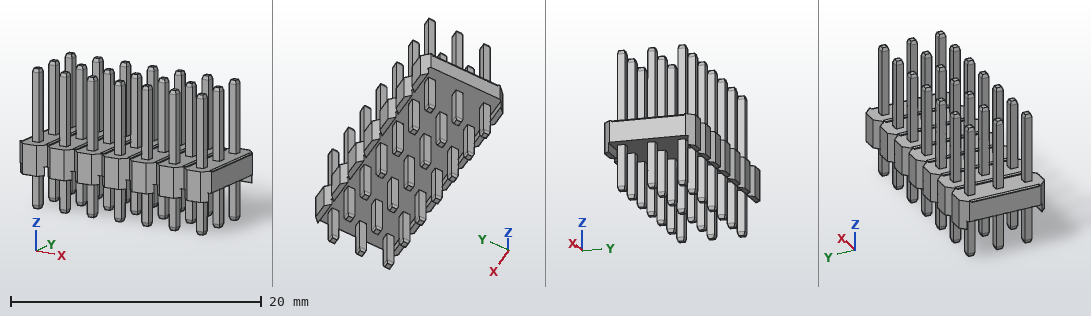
import cadquery as cq

columns = 7
rows = 3
length = 17.78
pitch = length / columns
width = rows * pitch

body_height = pitch
foot_height = 0.73
corner_chamfer = 0.62
foot_thickness = 0.46
foot_side_gap = 0.15

groove_length = 6.2
groove_width = 0.4
groove_depth = 0.1
groove_wall_inset = 0.1

pin_size = 0.64
pin_tip_size = 0.45
pin_tip_height = 0.3
total_height = 11.6
pin_below = 3.0
pin_bottom = -pin_below
pin_top = total_height - pin_below


def centred(index, count):
    """Position of one item in a row of equally pitched items centred on zero."""
    return (index - (count - 1) / 2) * pitch


def frustum(x, y, z, base, top, height):
    """Rectangular frustum from a base (x, y) size at height z to a top size; height may be negative."""
    return (
        cq.Workplane("XY", origin=(x, y, z))
        .rect(*base)
        .workplane(offset=height)
        .rect(*top)
        .loft(combine=True)
    )


def make_cell(x):
    """Chamfered body block of one column, hollowed below to leave a foot at each end."""
    block = (
        cq.Workplane("XY", origin=(x, 0, 0))
        .rect(pitch, width)
        .extrude(body_height)
        .edges("|Z")
        .chamfer(corner_chamfer)
    )
    pocket = cq.Workplane("XY", origin=(x, 0, 0)).rect(pitch, width - 2 * foot_thickness).extrude(foot_height)
    block = block.cut(pocket)
    for side in (-1, 1):
        gap_x = x + side * (pitch - foot_side_gap) / 2
        gap = cq.Workplane("XY", origin=(gap_x, 0, 0)).rect(foot_side_gap, width).extrude(foot_height)
        block = block.cut(gap)
    return block


def make_groove(x):
    """Cutter for one groove, narrowing from the top face down to its floor."""
    opening = (groove_width, groove_length)
    floor = (groove_width - 2 * groove_wall_inset, groove_length - 2 * groove_wall_inset)
    return frustum(x, 0, body_height, opening, floor, -groove_depth)


def make_pin(x, y):
    """Square pin running through the body, tapered at both ends."""
    shank = (pin_size, pin_size)
    tip = (pin_tip_size, pin_tip_size)
    lower_end = pin_bottom + pin_tip_height
    upper_end = pin_top - pin_tip_height
    pin = cq.Workplane("XY", origin=(x, y, lower_end)).rect(*shank).extrude(upper_end - lower_end)
    pin = pin.union(frustum(x, y, upper_end, shank, tip, pin_tip_height))
    return pin.union(frustum(x, y, lower_end, shank, tip, -pin_tip_height))


result = make_cell(centred(0, columns))
for column in range(1, columns):
    result = result.union(make_cell(centred(column, columns)))

for seam in range(columns + 1):
    result = result.cut(make_groove(centred(seam, columns + 1)))

for column in range(columns):
    for row in range(rows):
        result = result.union(make_pin(centred(column, columns), centred(row, rows)))